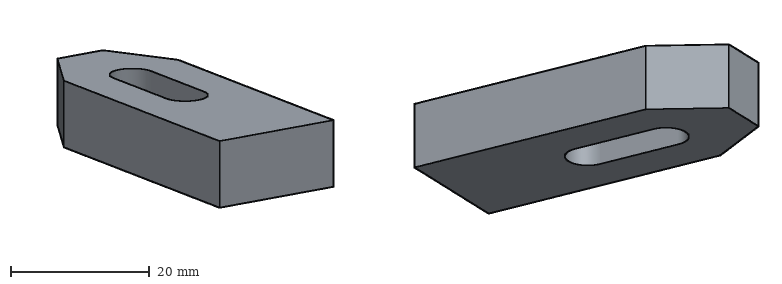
import cadquery as cq
import math

length = 50.0
width = 20.0
thickness = 10.0

nose_width = 8.0
taper_angle = 30.0
taper_length = (width - nose_width) / 2 / math.tan(math.radians(taper_angle))

slot_width = 6.6
slot_length = 20.0
slot_start = 10.0


def clamp_body():
    """Flat bar with its nose face on X = 0, centred on the X axis."""
    half_width = width / 2
    half_nose = nose_width / 2
    outline = [
        (0, -half_nose),
        (taper_length, -half_width),
        (length, -half_width),
        (length, half_width),
        (taper_length, half_width),
        (0, half_nose),
    ]
    return cq.Workplane("XY").polyline(outline).close().extrude(thickness)


def bolt_slot():
    """Round-ended cutter running through the full thickness."""
    slot_centre = slot_start + slot_length / 2
    return (
        cq.Workplane("XY")
        .center(slot_centre, 0)
        .slot2D(slot_length, slot_width)
        .extrude(thickness)
    )


result = clamp_body().cut(bolt_slot())